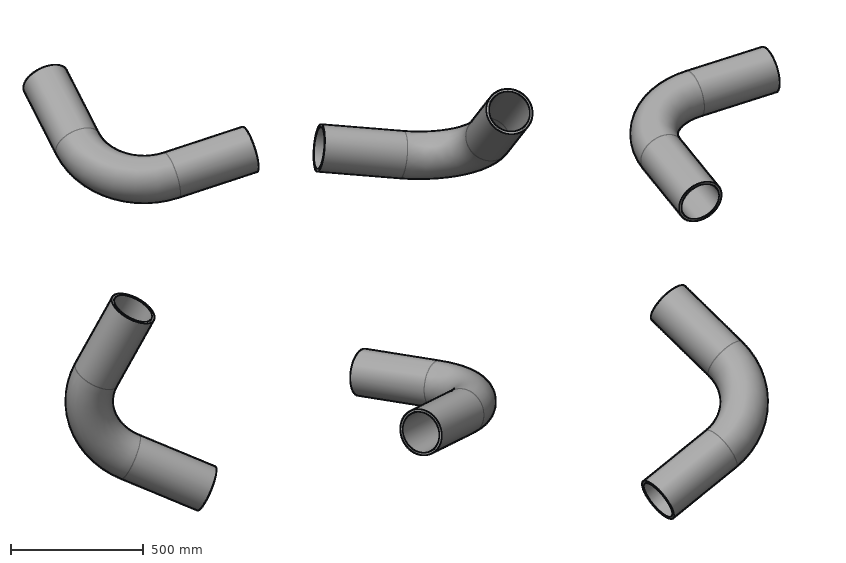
import cadquery as cq
import math

overall_length = 680.0
outer_diameter = 180.0
inner_diameter = 158.5

bend_radius = 1.5 * outer_diameter
leg_length = overall_length - bend_radius - outer_diameter / 2

corner = leg_length + bend_radius
arc_mid_offset = bend_radius * math.sin(math.radians(45))
centreline = (
    cq.Workplane("XY")
    .lineTo(leg_length, 0)
    .threePointArc(
        (leg_length + arc_mid_offset, bend_radius - arc_mid_offset),
        (corner, bend_radius),
    )
    .lineTo(corner, corner)
)

result = (
    cq.Workplane("YZ")
    .circle(outer_diameter / 2)
    .circle(inner_diameter / 2)
    .sweep(centreline)
)